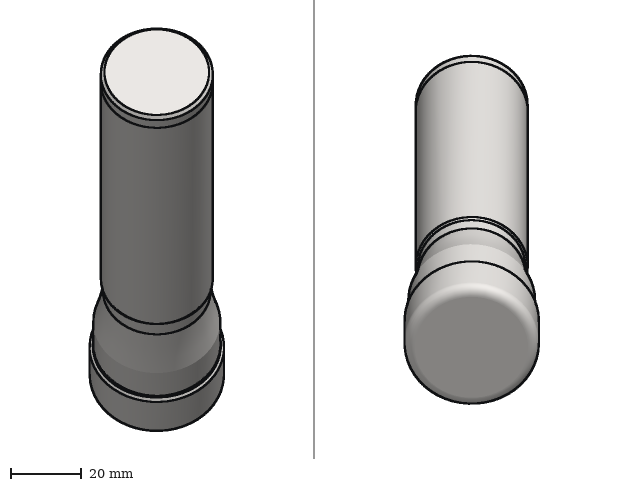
import cadquery as cq

total_length = 151.5

cap_height = 4.8
cap_chamfer = 1.0

grip_radius = 15.9
grip_bottom = 49.4
grip_taper_height = 0.8
neck_radius = 15.3
neck_bottom = 44.2

flare_step_height = 0.5
flare_top_radius = 15.5
flare_bow = 0.3
collar_radius = 18.0
collar_top = 29.0
collar_edge_chamfer = 0.5

head_radius = 19.1
head_top = 17.3
head_chamfer = 0.9
head_fillet = 3.0

cap_bottom = total_length - cap_height
flare_top = neck_bottom - flare_step_height


def make_body():
    """Grip, neck, concave flare, collar and head as one turned solid."""
    flare_middle = (
        (flare_top_radius + collar_radius) / 2 - flare_bow,
        (flare_top + collar_top) / 2,
    )
    upper = (
        cq.Workplane("XZ")
        .moveTo(0, head_top)
        .lineTo(collar_radius - collar_edge_chamfer, head_top)
        .lineTo(collar_radius, head_top + collar_edge_chamfer)
        .lineTo(collar_radius, collar_top)
        .threePointArc(flare_middle, (flare_top_radius, flare_top))
        .lineTo(neck_radius, neck_bottom)
        .lineTo(neck_radius, grip_bottom)
        .lineTo(grip_radius, grip_bottom + grip_taper_height)
        .lineTo(grip_radius, cap_bottom)
        .lineTo(0, cap_bottom)
        .close()
        .revolve(360, (0, 0, 0), (0, 1, 0))
    )
    head = (
        cq.Workplane("XY")
        .circle(head_radius)
        .extrude(head_top)
        .faces(">Z")
        .chamfer(head_chamfer)
        .faces("<Z")
        .edges()
        .fillet(head_fillet)
    )
    return upper.union(head)


def make_end_cap():
    """Flat disc closing the top of the grip, chamfered at its top rim."""
    return (
        cq.Workplane("XY", origin=(0, 0, cap_bottom))
        .circle(grip_radius)
        .extrude(cap_height)
        .faces(">Z")
        .chamfer(cap_chamfer)
    )


body = make_body()
end_cap = make_end_cap()

result = cq.Compound.makeCompound([body.val(), end_cap.val()])